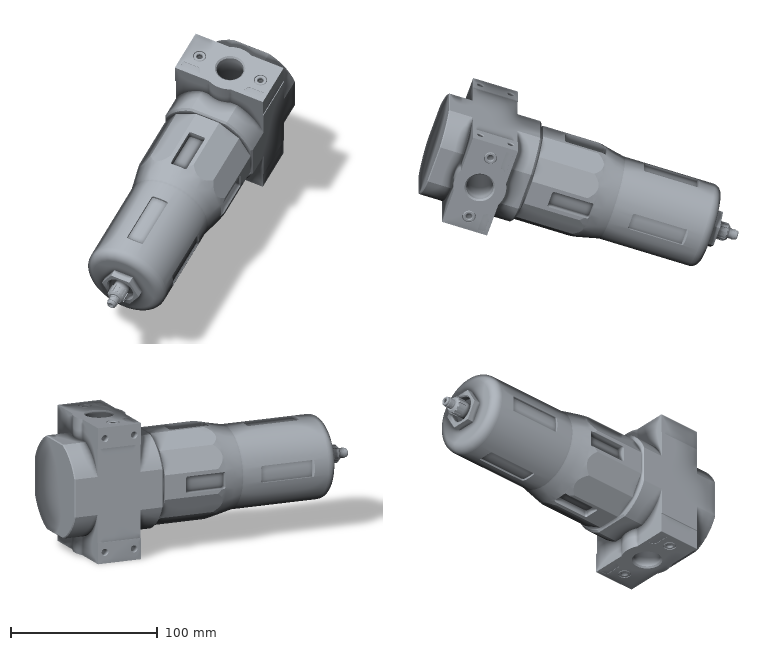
import cadquery as cq
import math


housing_width = 66.3
housing_rear = 33.1
housing_front = -33.5
corner_radius = 35.8
block_half_length = 16.1
front_chamfer = 1.3
rear_chamfer = 0.7
port_diameter = 18.5
port_chamfer = 1.0

overall_height = 96.0
plate_left = -34.0
plate_right = 32.7
plate_bulge_radius = 18.0
plate_thickness = (overall_height - housing_width) / 2

screw_offset = 23.0
counterbore_diameter = 9.0
head_diameter = 8.5
head_height = 5.0
head_chamfer = 0.5
shank_diameter = 5.0
mouth_chamfer = 0.5
socket_diameter = 4.1
socket_depth = 2.6
screw_length = 19.6
side_hole_offset = 11.0
side_hole_height = 40.1
side_hole_diameter = 4.1
side_hole_depth = 7.6
drill_point_slope = math.tan(math.radians(30))

label_depth = 0.2
label_front = -13.5
label_rear = -8.7
label_inner = 16.4
label_slant = 2.2
label_left_outer = 31.5
label_right_outer = 30.5
label_corner = 0.9

guard_start = -34.7
guard_end = -164.8
neck_diameter = 62.0
facet_count = 12
facet_distance = 65.0
flare_start = -74.3
flare_end = -94.5
barrel_radius = 29.2
barrel_end_fillet = 6.0

window_width = 12.0
window_corner = 1.3
window_floor_radius = 27.7
lower_window_ramp = 1.5
window_turns = (0, 90, 180, 270)
upper_window = (-80.0, -50.4)
lower_window = (-148.2, -108.1)

hex_sides = 6
hex_width = 24.0
hex_end = -170.0
hex_bore_diameter = 18.5
hex_bore_chamfer = 0.9

overall_length = 218.0
drain_end = housing_rear - overall_length
knob_diameter = 12.6
knob_root_diameter = 11.1
knob_start = -171.0
knob_end = -176.5
knob_front_diameter = 9.2
knob_front = -178.3
knob_tooth_count = 12
knob_groove_width = 1.7
knob_groove_depth = 0.7
shoulder_diameter = 7.2
shoulder_end = -179.5
stem_diameter = 6.8
collar_diameter = 7.2
collar_start = -181.5
collar_end = -182.7
tip_diameter = 6.3
tip_chamfer = 0.7
outlet_diameter = 3.0
outlet_depth = 2.2
outlet_chamfer = 0.5


def along_y(start, end, radius):
    """Cylinder on the long axis between two Y positions."""
    return cq.Workplane("XZ", origin=(0, max(start, end), 0)).circle(radius).extrude(abs(end - start))


def chamfered_ends(bar):
    return bar.faces("<Y").chamfer(front_chamfer).faces(">Y").chamfer(rear_chamfer)


def housing_bar():
    """Square bar with rounded corners, chamfered at both ends."""
    square = (
        cq.Workplane("XZ", origin=(0, housing_rear, 0))
        .rect(housing_width, housing_width)
        .extrude(housing_rear - housing_front)
    )
    round_bar = along_y(housing_front, housing_rear, corner_radius)
    return chamfered_ends(square).intersect(chamfered_ends(round_bar))


def make_housing():
    block = cq.Workplane("XY").box(housing_width, 2 * block_half_length, housing_width)
    port = cq.Workplane("XY").circle(port_diameter / 2).extrude(overall_height / 2, both=True)
    housing = housing_bar().union(block).cut(port)
    for screw in plate_screws():
        housing = housing.cut(cq.Workplane(screw))
    return housing


def drilled_hole(diameter, depth):
    """Chamfered hole with a drill point, opening at the origin and going down -Z."""
    radius = diameter / 2
    mouth = radius + mouth_chamfer
    return (
        cq.Workplane("XZ")
        .polyline([
            (0, 0),
            (mouth, 0),
            (radius, -mouth_chamfer),
            (radius, -depth),
            (0, -depth - radius * drill_point_slope),
        ])
        .close()
        .revolve(360, (0, 0, 0), (0, 1, 0))
    )


def label_recess(outer, side):
    """Shallow label field with one slanted end, on the +X (side = 1) or -X (side = -1) half."""
    top = overall_height / 2
    return (
        cq.Workplane("XY", origin=(0, 0, top - label_depth))
        .polyline([
            (side * outer, label_front),
            (side * outer, label_rear),
            (side * (label_inner + label_slant), label_rear),
            (side * label_inner, label_front),
        ])
        .close()
        .extrude(label_depth)
        .edges("|Z")
        .fillet(label_corner)
    )


def make_screw():
    """Cap screw standing on the Z axis, head top at the outer face of the upper plate."""
    top = overall_height / 2
    head = cq.Workplane("XY", origin=(0, 0, top - head_height)).circle(head_diameter / 2).extrude(head_height)
    head = head.faces(">Z").chamfer(head_chamfer)
    shank = cq.Workplane("XY", origin=(0, 0, top - screw_length)).circle(shank_diameter / 2)
    shank = shank.extrude(screw_length - head_height)
    socket = drilled_hole(socket_diameter, socket_depth).translate((0, 0, top))
    return head.union(shank).cut(socket)


def plate_screws():
    screws = []
    for turn in (0, 180):
        for x in (-screw_offset, screw_offset):
            screw = make_screw().translate((x, 0, 0)).rotate((0, 0, 0), (0, 1, 0), turn)
            screws.append(screw.val())
    return screws


def make_plate():
    """Upper connection plate."""
    top = overall_height / 2
    base = top - plate_thickness
    plane = cq.Workplane("XY", origin=(0, 0, base))
    slab = plane.center((plate_left + plate_right) / 2, 0)
    slab = slab.rect(plate_right - plate_left, 2 * block_half_length).extrude(plate_thickness)
    plate = slab.union(plane.circle(plate_bulge_radius).extrude(plate_thickness))
    plate = plate.cut(plane.circle(port_diameter / 2).extrude(plate_thickness))
    plate = plate.faces(">Z").edges(cq.selectors.RadiusNthSelector(0)).chamfer(port_chamfer)
    for x in (-screw_offset, screw_offset):
        plate = plate.cut(plane.center(x, 0).circle(shank_diameter / 2).extrude(plate_thickness))
        head_seat = cq.Workplane("XY", origin=(x, 0, top - head_height))
        plate = plate.cut(head_seat.circle(counterbore_diameter / 2).extrude(head_height))
    for y in (-side_hole_offset, side_hole_offset):
        hole = drilled_hole(side_hole_diameter, side_hole_depth).rotate((0, 0, 0), (0, 1, 0), -90)
        plate = plate.cut(hole.translate((plate_left, y, side_hole_height)))
    plate = plate.cut(label_recess(label_left_outer, -1))
    return plate.cut(label_recess(label_right_outer, 1))


def lower_window_ramp_block():
    """Wedge that turns the front wall of a lower window into a 45 degree ramp."""
    front = lower_window[0]
    foot = front + lower_window_ramp
    return (
        cq.Workplane("YZ", origin=(-window_width / 2, 0, 0))
        .polyline([
            (front, 0),
            (foot, 0),
            (foot, window_floor_radius),
            (front, window_floor_radius + lower_window_ramp),
        ])
        .close()
        .extrude(window_width)
    )


def window(span, turn, filling=None):
    """Rounded window cutter reaching from the floor cylinder outwards, turned about the long axis."""
    front, rear = span
    cutter = (
        cq.Workplane("XY")
        .center(0, (front + rear) / 2)
        .rect(window_width, rear - front)
        .extrude(facet_distance)
        .edges("|Z")
        .fillet(window_corner)
    )
    cutter = cutter.cut(along_y(front, rear, window_floor_radius))
    if filling is not None:
        cutter = cutter.cut(filling)
    return cutter.rotate((0, 0, 0), (0, 1, 0), turn)


def make_guard():
    facet_corner_radius = facet_distance / 2 / math.cos(math.pi / facet_count)
    envelope = (
        cq.Workplane("XY")
        .polyline([
            (0, guard_start),
            (facet_corner_radius, guard_start),
            (facet_corner_radius, flare_start),
            (barrel_radius, flare_end),
            (barrel_radius, guard_end),
            (0, guard_end),
        ])
        .close()
        .revolve(360, (0, 0, 0), (0, 1, 0))
        .faces("<Y")
        .fillet(barrel_end_fillet)
    )
    prism = (
        cq.Workplane("XZ", origin=(0, guard_start, 0))
        .transformed(rotate=(0, 0, 180 / facet_count))
        .polygon(facet_count, 2 * facet_corner_radius)
        .extrude(guard_start - guard_end)
    )
    guard = envelope.intersect(prism)
    guard = guard.union(along_y(housing_front, guard_start, neck_diameter / 2))
    ramp = lower_window_ramp_block()
    for turn in window_turns:
        guard = guard.cut(window(upper_window, turn))
        guard = guard.cut(window(lower_window, turn, ramp))
    return guard


def make_drain_socket():
    socket = (
        cq.Workplane("XZ", origin=(0, guard_end, 0))
        .polygon(hex_sides, hex_width / math.cos(math.pi / hex_sides))
        .extrude(guard_end - hex_end)
    )
    bore = along_y(hex_end, guard_end, hex_bore_diameter / 2)
    socket = socket.cut(bore)
    return socket.faces("<Y").edges("%CIRCLE").chamfer(hex_bore_chamfer)


def make_drain_valve():
    valve = (
        cq.Workplane("XY")
        .polyline([
            (0, guard_end),
            (knob_root_diameter / 2, guard_end),
            (knob_root_diameter / 2, knob_start),
            (knob_diameter / 2, knob_start),
            (knob_diameter / 2, knob_end),
            (knob_front_diameter / 2, knob_front),
            (shoulder_diameter / 2, knob_front),
            (shoulder_diameter / 2, shoulder_end),
            (stem_diameter / 2, shoulder_end),
            (stem_diameter / 2, collar_start),
            (collar_diameter / 2, collar_start),
            (collar_diameter / 2, collar_end),
            (tip_diameter / 2, collar_end),
            (tip_diameter / 2, drain_end + tip_chamfer),
            (tip_diameter / 2 - tip_chamfer, drain_end),
            (outlet_diameter / 2 + outlet_chamfer, drain_end),
            (outlet_diameter / 2, drain_end + outlet_chamfer),
            (outlet_diameter / 2, drain_end + outlet_depth),
            (0, drain_end + outlet_depth),
        ])
        .close()
        .revolve(360, (0, 0, 0), (0, 1, 0))
    )
    groove_floor = knob_diameter / 2 - knob_groove_depth
    groove = (
        cq.Workplane("XY", origin=(0, (knob_start + knob_front) / 2, groove_floor))
        .rect(knob_groove_width, knob_start - knob_front)
        .extrude(knob_diameter)
    )
    for index in range(knob_tooth_count):
        valve = valve.cut(groove.rotate((0, 0, 0), (0, 1, 0), (index + 0.5) * 360 / knob_tooth_count))
    return valve


housing = make_housing()
upper_plate = make_plate()
lower_plate = upper_plate.mirror("XY")
screws = plate_screws()
guard = make_guard()
drain_socket = make_drain_socket()
drain_valve = make_drain_valve()

result = cq.Compound.makeCompound([
    housing.val(),
    upper_plate.val(),
    lower_plate.val(),
    *screws,
    guard.val(),
    drain_socket.val(),
    drain_valve.val(),
])